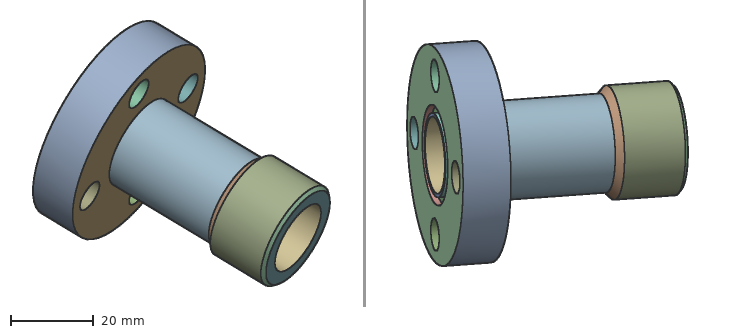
import cadquery as cq

length = 60.0
flange_diameter = 54.0
flange_thickness = 12.0

neck_diameter = 24.2
collar_diameter = 27.9
collar_length = 18.0
collar_back_chamfer = (collar_diameter - neck_diameter) / 2
collar_end_chamfer = 0.9

bore_diameter = 18.8
groove_inner_diameter = 20.5
groove_outer_diameter = 24.55
groove_depth = 1.8

bolt_hole_diameter = 8.0
bolt_circle_diameter = 40.0
bolt_count = 4


def cylinder(diameter, start, depth):
    """Solid cylinder on the X axis, running from start towards +X."""
    return cq.Workplane("YZ", origin=(start, 0, 0)).circle(diameter / 2).extrude(depth)


def make_collar():
    collar = cylinder(collar_diameter, length - collar_length, collar_length)
    collar = collar.faces("<X").chamfer(collar_back_chamfer)
    return collar.faces(">X").chamfer(collar_end_chamfer)


def make_bolt_holes():
    return (
        cq.Workplane("YZ")
        .polarArray(bolt_circle_diameter / 2, 0, 360, bolt_count)
        .circle(bolt_hole_diameter / 2)
        .extrude(flange_thickness)
    )


flange = cylinder(flange_diameter, 0, flange_thickness)
neck = cylinder(neck_diameter, 0, length - collar_end_chamfer)
body = flange.union(neck).union(make_collar())

bore = cylinder(bore_diameter, 0, length)
groove = cylinder(groove_outer_diameter, 0, groove_depth).cut(
    cylinder(groove_inner_diameter, 0, groove_depth)
)
result = body.cut(bore).cut(groove).cut(make_bolt_holes())